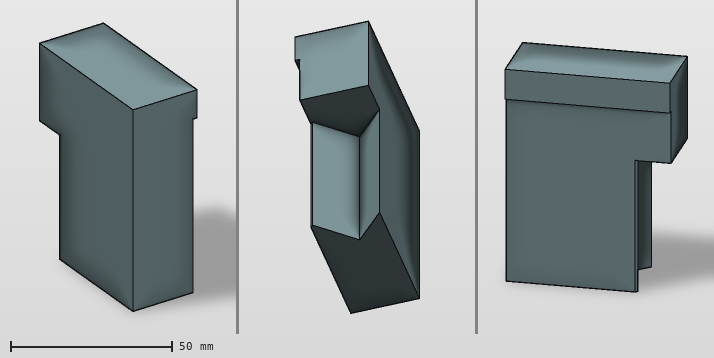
import cadquery as cq

length = 52.55
depth = 23.9
height = 71.0

head_height = 27.3
lip_height = 9.95
lip_overhang = 1.55
back_y = depth - lip_overhang

front_edge_x = 11.4
notch_root_x = 21.5
notch_root_y = 9.65
notch_tip_x = 10.7
notch_tip_y = 21.6

front_flank_slope = (notch_root_x - front_edge_x) / notch_root_y
bevel_end_x = notch_tip_x + (back_y - notch_tip_y) * front_flank_slope


def make_head():
    """Full-length head, stepped along its back below the lip."""
    stem_height = height - head_height
    body = cq.Workplane("XY").box(length, back_y, head_height, centered=False)
    body = body.translate((0, 0, stem_height))
    lip = cq.Workplane("XY").box(length, depth, lip_height, centered=False)
    return body.union(lip.translate((0, 0, height - lip_height)))


def make_stem():
    """Notched stem, running up into the underside of the lip."""
    outline = [
        (front_edge_x, 0),
        (length, 0),
        (length, back_y),
        (bevel_end_x, back_y),
        (notch_tip_x, notch_tip_y),
        (notch_root_x, notch_root_y),
    ]
    return cq.Workplane("XY").polyline(outline).close().extrude(height - lip_height)


result = make_head().union(make_stem()).clean()